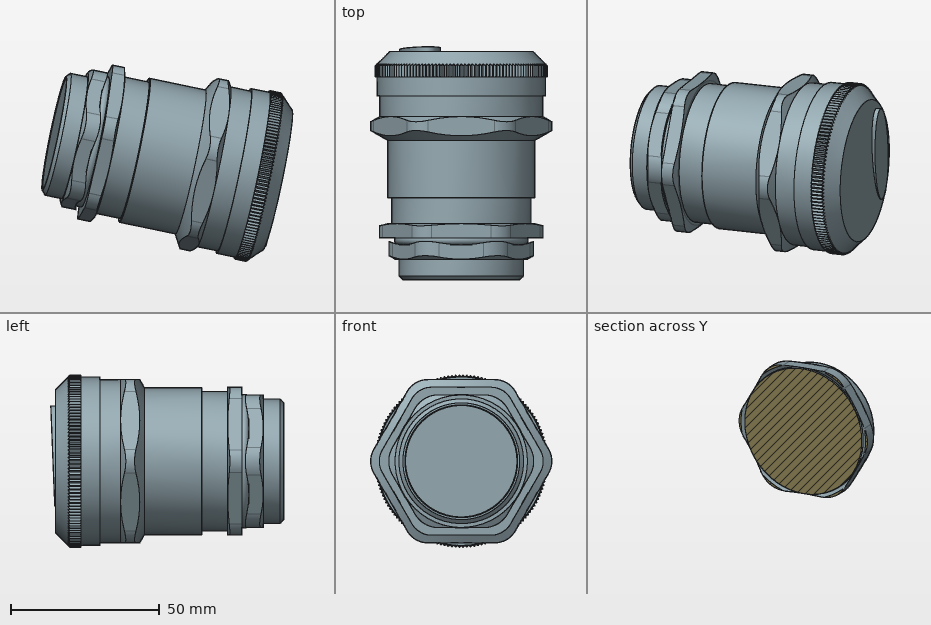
import cadquery as cq
import math


spigot_diameter = 42.0
spigot_chamfer_width = 1.3
spigot_chamfer_length = 1.25
neck_diameter = 47.0
neck_end = 27.45
barrel_diameter = 49.6
barrel_end = 46.9
barrel_chamfer = 0.2
shank_diameter = 55.0
shank_end = 61.9
collar_diameter = 56.7
collar_end = 68.2

recess_diameter = 38.0
recess_depth = 0.2
recess_taper = 0.2

seal_outer_radius = 22.5
seal_section_radius = 1.5
seal_center = 13.25

front_nut_flats = 44.7
front_nut_corner = 9.25
front_nut_start = 6.9
front_nut_end = 12.95
front_nut_face_radius = 22.3
middle_nut_flats = 49.8
middle_nut_corner = 7.7
middle_nut_start = 14.1
middle_nut_end = 19.0
middle_nut_face_radius = 24.5
body_hex_flats = 55.0
body_hex_corner = 8.0
body_hex_end = 54.9

steep_chamfer = math.tan(math.radians(30))
shallow_chamfer = math.tan(math.radians(15))

cap_end = 76.9
cap_face_radius = 24.1
knurl_tip_diameter = 58.0
knurl_teeth = 144
knurl_lead_in = 0.2

pad_length = 34.3
pad_width = 12.4
pad_lean = 11.3
pad_low_z = -15.1
pad_high_z = 18.7
pad_center_x = -13.9
pad_base = 76.1
pad_low_end = 77.1
overall_length = 78.45


def turned(points):
    """Revolve an outline of (radius, y) points about the Y axis."""
    return cq.Workplane("XY").polyline(points).close().revolve(360, (0, 0), (0, 1))


def xz_plane(y):
    """Workplane across the axis at the given Y, extruding toward +Y."""
    return cq.Workplane(cq.Plane(origin=(0, y, 0), xDir=(1, 0, 0), normal=(0, 1, 0)))


def cylinder(diameter, start, end):
    return xz_plane(start).circle(diameter / 2).extrude(end - start)


def rounded_hexagon(flats, corner_radius, start, end):
    """Hexagonal prism with corners on the X axis and rounded edges along Y."""
    across_corners = flats / math.cos(math.pi / 6)
    prism = xz_plane(start).polygon(6, across_corners).extrude(end - start)
    return prism.edges("|Y").fillet(corner_radius)


def rounded_corner_reach(flats, corner_radius):
    """Distance from the axis to the tip of a rounded hexagon corner."""
    return corner_radius + (flats / 2 - corner_radius) / math.cos(math.pi / 6)


def make_body():
    spigot_radius = spigot_diameter / 2
    barrel_radius = barrel_diameter / 2
    spigot = turned([
        (0, 0),
        (spigot_radius - spigot_chamfer_width, 0),
        (spigot_radius, spigot_chamfer_length),
        (spigot_radius, middle_nut_end),
        (0, middle_nut_end),
    ])
    neck = cylinder(neck_diameter, middle_nut_start, neck_end)
    barrel = turned([
        (0, neck_end),
        (barrel_radius - barrel_chamfer, neck_end),
        (barrel_radius, neck_end + barrel_chamfer),
        (barrel_radius, barrel_end),
        (0, barrel_end),
    ])
    shank = cylinder(shank_diameter, body_hex_end, shank_end)
    collar = cylinder(collar_diameter, shank_end, collar_end)
    return spigot.union(neck).union(barrel).union(shank).union(collar)


def make_front_nut():
    """Nut chamfered at the front and dished at the back, so its corners reach farther back."""
    flat_radius = front_nut_flats / 2
    corner_radius = front_nut_flats / math.cos(math.pi / 6) / 2
    rise = (corner_radius - front_nut_face_radius) * steep_chamfer
    reach = rounded_corner_reach(front_nut_flats, front_nut_corner)
    dish_floor = front_nut_end - (reach - flat_radius) * steep_chamfer
    envelope = turned([
        (0, front_nut_start),
        (front_nut_face_radius, front_nut_start),
        (corner_radius, front_nut_start + rise),
        (corner_radius, dish_floor + (corner_radius - flat_radius) * steep_chamfer),
        (flat_radius, dish_floor),
        (0, dish_floor),
    ])
    prism = rounded_hexagon(front_nut_flats, front_nut_corner, front_nut_start, front_nut_end)
    return prism.intersect(envelope)


def make_middle_nut():
    corner_radius = middle_nut_flats / math.cos(math.pi / 6) / 2
    drop = (corner_radius - middle_nut_face_radius) * shallow_chamfer
    envelope = turned([
        (0, middle_nut_start),
        (corner_radius, middle_nut_start),
        (corner_radius, middle_nut_end - drop),
        (middle_nut_face_radius, middle_nut_end),
        (0, middle_nut_end),
    ])
    prism = rounded_hexagon(middle_nut_flats, middle_nut_corner, middle_nut_start, middle_nut_end)
    return prism.intersect(envelope)


def make_body_hexagon():
    """Hexagon between two cones that run down to the barrel and to the shank."""
    corner_radius = body_hex_flats / math.cos(math.pi / 6) / 2
    rise = (corner_radius - barrel_diameter / 2) * steep_chamfer
    drop = (corner_radius - shank_diameter / 2) * steep_chamfer
    envelope = turned([
        (0, barrel_end),
        (barrel_diameter / 2, barrel_end),
        (corner_radius, barrel_end + rise),
        (corner_radius, body_hex_end - drop),
        (shank_diameter / 2, body_hex_end),
        (0, body_hex_end),
    ])
    return rounded_hexagon(body_hex_flats, body_hex_corner, barrel_end, body_hex_end).intersect(envelope)


def make_seal():
    """Ring with a round bulging rim, pressed flat against the middle nut."""
    ring_radius = seal_outer_radius - seal_section_radius
    back_offset = middle_nut_start - seal_center
    back_radius = ring_radius + math.sqrt(seal_section_radius**2 - back_offset**2)
    return (
        cq.Workplane("XY")
        .moveTo(0, seal_center - seal_section_radius)
        .lineTo(ring_radius, seal_center - seal_section_radius)
        .threePointArc((seal_outer_radius, seal_center), (back_radius, middle_nut_start))
        .lineTo(0, middle_nut_start)
        .close()
        .revolve(360, (0, 0), (0, 1))
    )


def make_cap():
    """V-toothed ring cut off by the 45 degree cone at the back."""
    root_radius = collar_diameter / 2
    tip_radius = knurl_tip_diameter / 2
    half_pitch = math.pi / knurl_teeth
    outline = []
    for i in range(knurl_teeth):
        root_angle = 2 * i * half_pitch
        tip_angle = root_angle + half_pitch
        outline.append((root_radius * math.cos(root_angle), root_radius * math.sin(root_angle)))
        outline.append((tip_radius * math.cos(tip_angle), tip_radius * math.sin(tip_angle)))
    toothed = xz_plane(collar_end).polyline(outline).close().extrude(cap_end - collar_end)
    envelope = turned([
        (0, collar_end),
        (tip_radius - knurl_lead_in, collar_end),
        (tip_radius, collar_end + knurl_lead_in),
        (tip_radius, cap_end - (tip_radius - cap_face_radius)),
        (cap_face_radius, cap_end),
        (0, cap_end),
    ])
    return toothed.intersect(envelope)


def make_pad():
    """Leaning elliptical pad whose top slopes up toward +Z."""
    wedge = (
        cq.Workplane("YZ", origin=(pad_center_x, 0, 0))
        .polyline([
            (pad_base, pad_low_z),
            (pad_low_end, pad_low_z),
            (overall_length, pad_high_z),
            (pad_base, pad_high_z),
        ])
        .close()
        .extrude(pad_length, both=True)
    )
    prism = (
        xz_plane(pad_base)
        .center(pad_center_x, -(pad_low_z + pad_high_z) / 2)
        .ellipse(pad_length / 2, pad_width / 2, rotation_angle=pad_lean - 90)
        .extrude(overall_length - pad_base)
    )
    return prism.intersect(wedge)


recess = turned([
    (0, 0),
    (recess_diameter / 2, 0),
    (recess_diameter / 2 - recess_taper, recess_depth),
    (0, recess_depth),
])

result = make_body()
for piece in (
    make_seal(),
    make_front_nut(),
    make_middle_nut(),
    make_body_hexagon(),
    make_cap(),
    make_pad(),
):
    result = result.union(piece)
result = result.cut(recess)